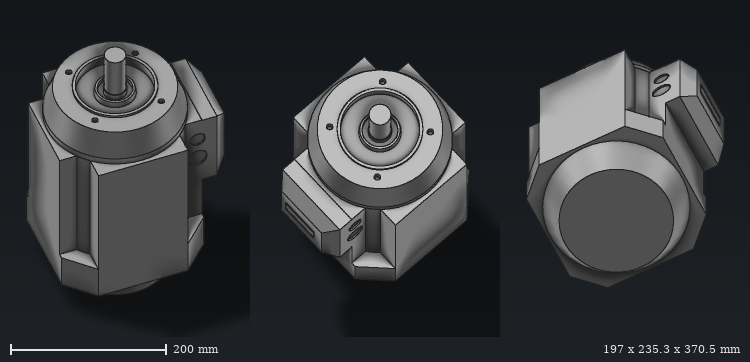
import cadquery as cq

cowl_top_z = 40.0
notch_floor_z = 90.0
body_top_z = 265.0
cone_start_z = 274.0
flange_face_z = 311.2
spigot_top_z = 314.5
shaft_end_z = 370.5

body_width = 197.0
corner_chamfer = 36.5
front_rib_half_width = 55.2
side_rib_half_width = body_width / 2 - corner_chamfer
barrel_radius = 93.0

cowl_top_radius = 95.0
cowl_bottom_radius = 73.7

flange_radius = 93.5
flange_face_radius = 80.8
spigot_radius = 55.2
recess_radius = 51.0
recess_floor_z = 301.0

fixing_hole_radius = 4.0
fixing_hole_spacing = 92.0
fixing_hole_depth = 11.0

hub_base_radius = 27.5
hub_top_radius = 26.0
hub_bore_radius = 23.0
hub_top_z = 309.0
hub_bore_floor_z = 302.5
collar_radius = 15.2
collar_top_z = 311.0
shaft_radius = 14.0

box_size = 2 * front_rib_half_width
box_bottom_z = 153.8
box_center_z = box_bottom_z + box_size / 2
box_shoulder_y = 119.3
lid_height = 16.5
box_back_y = box_shoulder_y + lid_height
plate_width = 54.0
plate_height = 21.5
plate_thickness = 1.0
plate_offset_x = 2.5

knockout_y = 92.5
knockout_depth = 2.2
knockouts = [(230.5, 10.5), (196.5, 13.0)]


def cylinder(radius, bottom_z, top_z):
    return cq.Workplane("XY", origin=(0, 0, bottom_z)).circle(radius).extrude(top_z - bottom_z)


def cone(bottom_radius, top_radius, bottom_z, top_z):
    profile = [(0, bottom_z), (bottom_radius, bottom_z), (top_radius, top_z), (0, top_z)]
    return cq.Workplane("XZ").polyline(profile).close().revolve(360, (0, 0, 0), (0, 1, 0))


def block(width, depth, bottom_z, top_z):
    return cq.Workplane("XY", origin=(0, 0, bottom_z)).rect(width, depth).extrude(top_z - bottom_z)


def make_housing():
    base = block(body_width, body_width, cowl_top_z, notch_floor_z)
    base = base.edges("|Z").chamfer(corner_chamfer)
    front_ribs = block(2 * front_rib_half_width, body_width, notch_floor_z, body_top_z)
    side_ribs = block(body_width, 2 * side_rib_half_width, notch_floor_z, body_top_z)
    barrel = cylinder(barrel_radius, notch_floor_z, body_top_z)
    return base.union(front_ribs).union(side_ribs).union(barrel)


def make_flange():
    flange = cone(flange_radius, flange_face_radius, cone_start_z, flange_face_z)
    flange = flange.union(cylinder(flange_radius, body_top_z, cone_start_z))
    flange = flange.union(cylinder(spigot_radius, flange_face_z, spigot_top_z))
    flange = flange.cut(cylinder(recess_radius, recess_floor_z, spigot_top_z))
    fixing_holes = (
        cq.Workplane("XY", origin=(0, 0, flange_face_z))
        .rect(fixing_hole_spacing, fixing_hole_spacing, forConstruction=True)
        .vertices()
        .circle(fixing_hole_radius)
        .extrude(-fixing_hole_depth)
    )
    return flange.cut(fixing_holes)


def make_hub_and_shaft():
    hub = cone(hub_base_radius, hub_top_radius, recess_floor_z, hub_top_z)
    hub = hub.cut(cylinder(hub_bore_radius, hub_bore_floor_z, hub_top_z))
    collar = cylinder(collar_radius, recess_floor_z, collar_top_z)
    shaft = cylinder(shaft_radius, recess_floor_z, shaft_end_z)
    return hub.union(collar).union(shaft)


def make_terminal_box():
    box = (
        cq.Workplane("XZ", origin=(0, 0, box_center_z))
        .rect(box_size, box_size)
        .extrude(-box_back_y)
        .faces(">Y")
        .chamfer(lid_height)
    )
    name_plate = (
        cq.Workplane("XZ", origin=(plate_offset_x, box_back_y, box_center_z))
        .rect(plate_width, plate_height)
        .extrude(-plate_thickness)
    )
    return box.union(name_plate)


def make_knockouts():
    discs = cq.Workplane("YZ")
    for side in (-1, 1):
        for height, radius in knockouts:
            disc = (
                cq.Workplane("YZ", origin=(side * box_size / 2, knockout_y, height))
                .circle(radius)
                .extrude(-side * knockout_depth)
            )
            discs = discs.add(disc)
    return discs.combine()


cowl = cone(cowl_bottom_radius, cowl_top_radius, 0, cowl_top_z)
result = make_housing().union(cowl).union(make_flange()).union(make_hub_and_shaft())
result = result.union(make_terminal_box()).cut(make_knockouts())